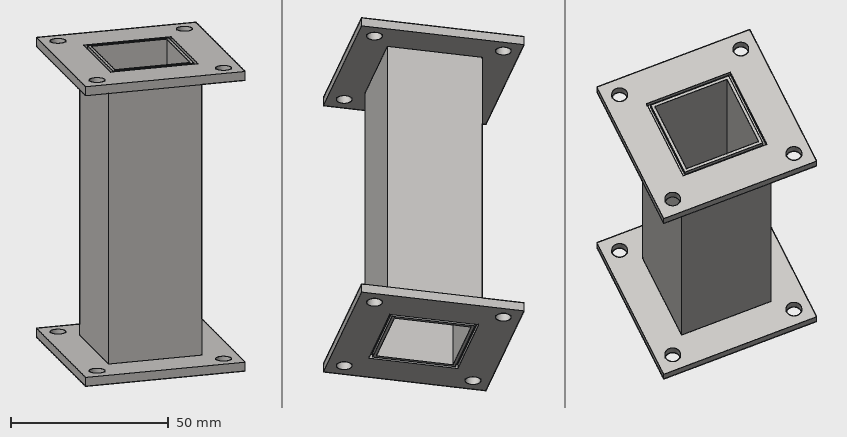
import cadquery as cq

length = 100.0
flange_side = 53.0
flange_thickness = 3.0

tube_side = 31.0
bore_side = 25.0

groove_outer_side = 29.0
groove_inner_side = 27.0
groove_depth = 1.5

hole_diameter = 5.0
hole_spacing = 42.0


def square_bar(side, height, bottom):
    """Square bar centred on the Z axis, rising from the given height."""
    return cq.Workplane("XY").workplane(offset=bottom).rect(side, side).extrude(height)


def face_groove(bottom):
    """Square ring of material that is cut out of a flange face."""
    outer = square_bar(groove_outer_side, groove_depth, bottom)
    return outer.cut(square_bar(groove_inner_side, groove_depth, bottom))


body = square_bar(tube_side, length, 0)
for flange_bottom in (0, length - flange_thickness):
    body = body.union(square_bar(flange_side, flange_thickness, flange_bottom))

body = body.cut(square_bar(bore_side, length, 0))
bolt_holes = (
    cq.Workplane("XY")
    .rect(hole_spacing, hole_spacing, forConstruction=True)
    .vertices()
    .circle(hole_diameter / 2)
    .extrude(length)
)
body = body.cut(bolt_holes)

for groove_bottom in (0, length - groove_depth):
    body = body.cut(face_groove(groove_bottom))

result = body